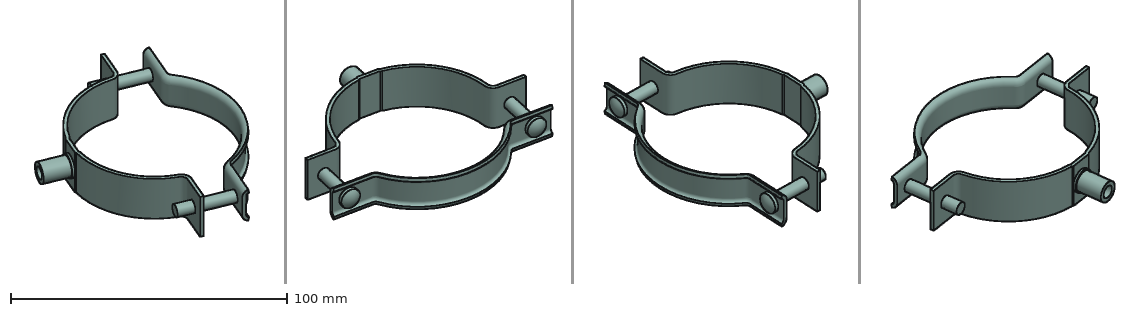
import cadquery as cq
import math

overall_width = 94.0
bore_radius = 31.5
sheet = 1.5

lower_width = 18.0
lower_tab_top = 0.0
lower_bend_radius = 4.0
seat_half_width = 4.4
seat_blend_width = 0.6

upper_width = 14.0
upper_tab_bottom = 15.0
upper_bend_radius = 4.5
curl_radius = 3.0
curl_angle = math.radians(78)

screw_offset = 40.0
screw_diameter = 5.1
screw_tip = -8.5
head_diameter = 8.1
head_rim_height = 1.5
dome_height = 1.5

boss_diameter = 8.5
boss_length = 12.0
boss_hole_diameter = 5.0
collar_diameter = 9.5
collar_height = 1.0

half_width = overall_width / 2
band_radius = bore_radius + sheet
seat_bottom = -band_radius


def polar(center, radius, angle):
    """Point at the given radius and angle (radians) from a centre."""
    return (center[0] + radius * math.cos(angle), center[1] + radius * math.sin(angle))


def screw_axis_cut(x):
    """Cylinder along Y that clears one screw shank through both straps."""
    return (
        cq.Workplane("XZ", origin=(x, half_width, 0))
        .circle(screw_diameter / 2)
        .extrude(overall_width)
    )


def make_lower_strap():
    tab_bottom = lower_tab_top - sheet
    inner_bend_radius = lower_bend_radius - sheet
    bend_y = lower_tab_top - lower_bend_radius
    bend_x = math.sqrt((bore_radius + lower_bend_radius) ** 2 - bend_y**2)
    bend_center = (bend_x, bend_y)
    tangent_angle = math.atan2(bend_y, bend_x)
    toward_band = tangent_angle + math.pi
    mid_bend = (toward_band + math.pi / 2) / 2

    band_end_x = seat_half_width + seat_blend_width
    bore_end = (band_end_x, -math.sqrt(bore_radius**2 - band_end_x**2))
    outer_end = (band_end_x, -math.sqrt(band_radius**2 - band_end_x**2))
    mid_band = (tangent_angle + math.atan2(bore_end[1], bore_end[0])) / 2

    half = (
        cq.Workplane("XY", origin=(0, 0, -lower_width / 2))
        .moveTo(half_width, lower_tab_top)
        .lineTo(bend_x, lower_tab_top)
        .threePointArc(
            polar(bend_center, lower_bend_radius, mid_bend),
            polar(bend_center, lower_bend_radius, toward_band),
        )
        .threePointArc(polar((0, 0), bore_radius, mid_band), bore_end)
        .lineTo(seat_half_width, -bore_radius)
        .lineTo(0, -bore_radius)
        .lineTo(0, seat_bottom)
        .lineTo(seat_half_width, seat_bottom)
        .lineTo(*outer_end)
        .threePointArc(
            polar((0, 0), band_radius, mid_band),
            polar((0, 0), band_radius, tangent_angle),
        )
        .threePointArc(
            polar(bend_center, inner_bend_radius, mid_bend),
            (bend_x, tab_bottom),
        )
        .lineTo(half_width, tab_bottom)
        .close()
        .extrude(lower_width)
    )
    strap = half.union(half.mirror("YZ"))
    for x in (-screw_offset, screw_offset):
        strap = strap.cut(screw_axis_cut(x))
    return strap


def upper_strap_path():
    """Inner face of the web in plan: tab, bend, arch, bend, tab."""
    bend_y = upper_tab_bottom + upper_bend_radius
    bend_x = math.sqrt((bore_radius + upper_bend_radius) ** 2 - bend_y**2)
    tangent_angle = math.atan2(bend_y, bend_x)
    toward_arch = tangent_angle + math.pi
    mid_bend = (toward_arch + 1.5 * math.pi) / 2
    mid_x, mid_y = polar((bend_x, bend_y), upper_bend_radius, mid_bend)
    arch_x, arch_y = polar((0, 0), bore_radius, tangent_angle)
    return (
        cq.Workplane("XY")
        .moveTo(-half_width, upper_tab_bottom)
        .lineTo(-bend_x, upper_tab_bottom)
        .threePointArc((-mid_x, mid_y), (-arch_x, arch_y))
        .threePointArc((0, bore_radius), (arch_x, arch_y))
        .threePointArc((mid_x, mid_y), (bend_x, upper_tab_bottom))
        .lineTo(half_width, upper_tab_bottom)
    )


def make_upper_strap():
    inner_curl_radius = curl_radius - sheet
    web_half = upper_width / 2 - curl_radius * math.sin(curl_angle)

    def curl_point(radius, angle, side):
        """Point (Y, Z) on a flange curl, measured from the inner face of the web."""
        return (
            curl_radius - radius * math.cos(angle),
            side * (web_half + radius * math.sin(angle)),
        )

    section = (
        cq.Workplane("YZ", origin=(-half_width, upper_tab_bottom, 0))
        .moveTo(0, -web_half)
        .lineTo(0, web_half)
        .threePointArc(
            curl_point(curl_radius, curl_angle / 2, 1),
            curl_point(curl_radius, curl_angle, 1),
        )
        .lineTo(*curl_point(inner_curl_radius, curl_angle, 1))
        .threePointArc(curl_point(inner_curl_radius, curl_angle / 2, 1), (sheet, web_half))
        .lineTo(sheet, -web_half)
        .threePointArc(
            curl_point(inner_curl_radius, curl_angle / 2, -1),
            curl_point(inner_curl_radius, curl_angle, -1),
        )
        .lineTo(*curl_point(curl_radius, curl_angle, -1))
        .threePointArc(curl_point(curl_radius, curl_angle / 2, -1), (0, -web_half))
        .close()
    )
    strap = section.sweep(upper_strap_path())
    for x in (-screw_offset, screw_offset):
        strap = strap.cut(screw_axis_cut(x))
    return strap


def make_screw(x):
    """Dome-headed screw along Y, revolved about its own axis."""
    shank_radius = screw_diameter / 2
    head_radius = head_diameter / 2
    head_base = upper_tab_bottom + sheet
    rim_top = head_base + head_rim_height
    dome_top = rim_top + dome_height
    dome_radius = (head_radius**2 + dome_height**2) / (2 * dome_height)
    dome_center = (0, dome_top - dome_radius)
    mid_dome = (math.pi / 2 + math.acos(head_radius / dome_radius)) / 2
    return (
        cq.Workplane("XY", origin=(x, 0, 0))
        .moveTo(0, screw_tip)
        .lineTo(shank_radius, screw_tip)
        .lineTo(shank_radius, head_base)
        .lineTo(head_radius, head_base)
        .lineTo(head_radius, rim_top)
        .threePointArc(polar(dome_center, dome_radius, mid_dome), (0, dome_top))
        .close()
        .revolve(360, (0, 0, 0), (0, 1, 0))
    )


def make_boss():
    """Hollow boss standing on the flat seat, with a collar at its foot."""
    foot = cq.Workplane("XZ", origin=(0, seat_bottom, 0))
    tube = foot.circle(boss_diameter / 2).extrude(boss_length)
    collar = foot.circle(collar_diameter / 2).extrude(collar_height)
    hole = foot.circle(boss_hole_diameter / 2).extrude(boss_length)
    return tube.union(collar).cut(hole)


lower_strap = make_lower_strap()
upper_strap = make_upper_strap()
screws = [make_screw(x) for x in (-screw_offset, screw_offset)]
boss = make_boss()

result = cq.Compound.makeCompound(
    [lower_strap.val(), upper_strap.val(), boss.val(), *[screw.val() for screw in screws]]
)